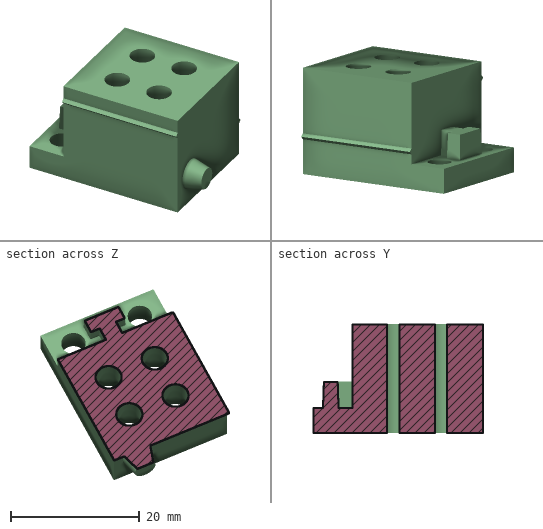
import cadquery as cq

overall_length = 29.5
peg_length = 2.95
body_end = overall_length - peg_length
flange_length = 6.08
block_length = body_end - flange_length
body_width = 19.55
body_height = 17.0
flange_height = 3.98

ridge_depth = 0.47
ridge_half_height = 0.47
front_ridge_z = 14.3
back_ridge_z = 6.05

block_hole_diameter = 4.0
block_hole_pitch_x = 7.5
block_hole_pitch_y = 8.0
block_hole_center_x = 16.22
flange_hole_diameter = 3.8
flange_hole_pitch = 11.5
flange_hole_x = 3.5
single_column_pitch = 0.3

key_start = 1.48
key_bar_thickness = 2.5
key_bar_width = 6.05
key_stem_width = 3.05
key_height = 4.05
key_draft = 2.0
key_overlap = 0.6

peg_root_diameter = 5.02
peg_tip_diameter = 3.5
peg_y = -5.75
peg_z = 5.0


def box_on_floor(start_x, length, height):
    """Full-width box standing on the bottom plane."""
    return (
        cq.Workplane("XY", origin=(start_x, 0, 0))
        .box(length, body_width, height, centered=(False, True, False))
    )


def side_ridge(side, center_z):
    """Triangular ridge along the block; side is -1 for front and +1 for back."""
    face_y = side * body_width / 2
    return (
        cq.Workplane("YZ", origin=(flange_length, 0, 0))
        .moveTo(face_y, center_z - ridge_half_height)
        .lineTo(face_y + side * ridge_depth, center_z)
        .lineTo(face_y, center_z + ridge_half_height)
        .close()
        .extrude(block_length)
    )


def drafted_box(start_x, end_x, width):
    """Box on the flange, centred on the mid-plane, whose sides lean inward by the key draft."""
    return (
        cq.Workplane("XY", origin=((start_x + end_x) / 2, 0, flange_height))
        .rect(end_x - start_x, width)
        .extrude(key_height, taper=key_draft)
    )


def t_key():
    """T-shaped key whose stem runs from the bar a little way into the block."""
    bar = drafted_box(key_start, key_start + key_bar_thickness, key_bar_width)
    stem = drafted_box(key_start, flange_length + key_overlap, key_stem_width)
    return bar.union(stem)


def tapered_peg():
    """Conical peg pointing along +X from the end face."""
    return (
        cq.Workplane("YZ", origin=(body_end, peg_y, peg_z))
        .circle(peg_root_diameter / 2)
        .workplane(offset=peg_length)
        .circle(peg_tip_diameter / 2)
        .loft(ruled=True)
    )


def through_holes(center_x, columns, pitch_x, pitch_y, diameter):
    """Grid of vertical cutters with two rows, centred on the mid-plane."""
    return (
        cq.Workplane("XY", origin=(center_x, 0, 0))
        .rarray(pitch_x, pitch_y, columns, 2)
        .circle(diameter / 2)
        .extrude(body_height)
    )


result = (
    box_on_floor(0, body_end, flange_height)
    .union(box_on_floor(flange_length, block_length, body_height))
    .union(side_ridge(-1, front_ridge_z))
    .union(side_ridge(1, back_ridge_z))
    .union(t_key())
    .union(tapered_peg())
    .cut(through_holes(block_hole_center_x, 2, block_hole_pitch_x, block_hole_pitch_y, block_hole_diameter))
    .cut(through_holes(flange_hole_x, 1, single_column_pitch, flange_hole_pitch, flange_hole_diameter))
)